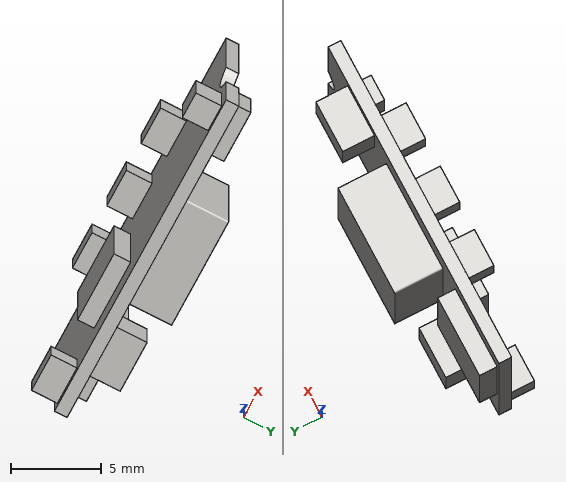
import cadquery as cq

board_length = 20.32
board_height = 11.4
board_thickness = 0.8

notch_radius = 1.56
notch_depth = 0.73
notch_center_z = 4.65

small_length = 2.32
small_width = 1.6
small_depth = 1.6
row_start_x = 5.18
row_pitch = 4.06
row_count = 3
row_z = 9.33
left_small_x = 0.35
left_small_z = 0.47
right_small_x = 18.19
right_small_z = 0.37

chip_x = 4.71
chip_z = 2.0
chip_length = 4.3
chip_height = 5.16
chip_depth = 1.04

capacitor_length = 3.2
capacitor_height = 2.5
capacitor_depth = 1.97
capacitor_corners = [(2.55, 0.59), (14.81, 8.27)]

flat_x = 0.2
flat_z = 4.0
flat_length = 4.98
flat_height = 6.01
flat_depth = 1.1

inductor_x = 6.62
inductor_z = 2.68
inductor_side = 6.79
inductor_depth = 3.0
inductor_corner_radius = 0.1


def block(x, y, z, length, depth, height):
    """Box with its lowest corner at (x, y, z)."""
    return cq.Workplane("XY").box(length, depth, height, centered=False).translate((x, y, z))


def front_block(x, z, length, height, depth):
    """Component standing out of the front face."""
    return block(x, -depth, z, length, depth, height)


def back_block(x, z, length, height, depth):
    """Component standing out of the back face."""
    return block(x, board_thickness, z, length, depth, height)


def notched_board():
    """Board plate with the round notch cut through its right-hand edge."""
    notch_center_x = board_length - notch_depth + notch_radius
    notch = (
        cq.Workplane("XZ")
        .center(notch_center_x, notch_center_z)
        .circle(notch_radius)
        .extrude(-board_thickness)
    )
    return block(0, 0, 0, board_length, board_thickness, board_height).cut(notch)


def front_components():
    """Row of small parts, the two lower corner parts and the chip."""
    parts = [
        front_block(row_start_x + i * row_pitch, row_z, small_length, small_width, small_depth)
        for i in range(row_count)
    ]
    parts.append(front_block(left_small_x, left_small_z, small_length, small_width, small_depth))
    parts.append(front_block(right_small_x, right_small_z, small_width, small_length, small_depth))
    parts.append(front_block(chip_x, chip_z, chip_length, chip_height, chip_depth))
    return parts


def back_components():
    """Capacitor pair, flat component and inductor."""
    parts = [
        back_block(x, z, capacitor_length, capacitor_height, capacitor_depth)
        for x, z in capacitor_corners
    ]
    parts.append(back_block(flat_x, flat_z, flat_length, flat_height, flat_depth))
    inductor = back_block(inductor_x, inductor_z, inductor_side, inductor_side, inductor_depth)
    parts.append(inductor.edges("|Y").fillet(inductor_corner_radius))
    return parts


result = notched_board()
for component in front_components() + back_components():
    result = result.union(component)